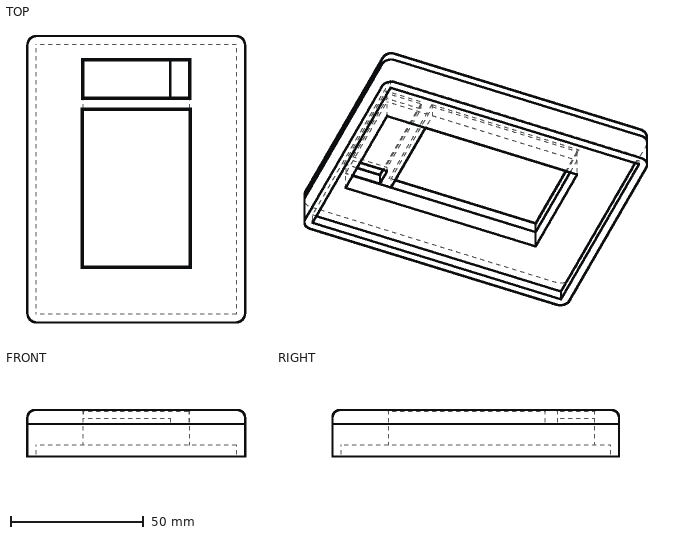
import cadquery as cq

WIDTH = 82.1
LENGTH = 108.0
HEIGHT = 17.6
LID_THICKNESS = 5.4
BASE_HEIGHT = HEIGHT - LID_THICKNESS
CORNER_RADIUS = 3.7
TOP_FILLET = 3.0

BEVEL = 0.5
BEVEL_ANGLE = 45.0
SMALL_WINDOW_WIDTH = 39.7
SMALL_WINDOW_BOTTOM = 30.8
SMALL_WINDOW_TOP = 44.7
MAIN_WINDOW_WIDTH = 40.2
MAIN_WINDOW_BOTTOM = -32.9
MAIN_WINDOW_TOP = 26.1

SHELF_THICKNESS = 2.0
SHELF_RIGHT = 12.9

BASE_OPENING_WIDTH = MAIN_WINDOW_WIDTH
POCKET_DEPTH = 4.3
POCKET_WALL = 3.2


def rounded_block(height, bottom):
    """Block with the full outline and rounded vertical corners."""
    block = cq.Workplane("XY").box(WIDTH, LENGTH, height, centered=(True, True, False))
    return block.edges("|Z").fillet(CORNER_RADIUS).translate((0, 0, bottom))


def centred_prism(width, y_low, y_high, z_low, z_high):
    """Rectangular prism centred on X between the given Y and Z limits."""
    prism = cq.Workplane("XY").box(width, y_high - y_low, z_high - z_low, centered=(True, False, False))
    return prism.translate((0, y_low, z_low))


def bevelled_window(width, y_low, y_high):
    """Cutter for a lid window whose upper rim flares outward by BEVEL."""
    shaft = centred_prism(width, y_low, y_high, BASE_HEIGHT, HEIGHT)
    rim = (
        cq.Workplane("XY", origin=(0, (y_low + y_high) / 2, HEIGHT))
        .rect(width + 2 * BEVEL, y_high - y_low + 2 * BEVEL)
        .extrude(-BEVEL, taper=BEVEL_ANGLE)
    )
    return shaft.union(rim)


def make_lid():
    lid = rounded_block(LID_THICKNESS, BASE_HEIGHT).faces(">Z").edges().fillet(TOP_FILLET)
    lid = lid.cut(bevelled_window(SMALL_WINDOW_WIDTH, SMALL_WINDOW_BOTTOM, SMALL_WINDOW_TOP))
    lid = lid.cut(bevelled_window(MAIN_WINDOW_WIDTH, MAIN_WINDOW_BOTTOM, MAIN_WINDOW_TOP))

    shelf_left = -SMALL_WINDOW_WIDTH / 2
    shelf = cq.Workplane("XY").box(
        SHELF_RIGHT - shelf_left,
        SMALL_WINDOW_TOP - SMALL_WINDOW_BOTTOM,
        SHELF_THICKNESS,
        centered=False,
    )
    return lid.union(shelf.translate((shelf_left, SMALL_WINDOW_BOTTOM, BASE_HEIGHT)))


def make_base():
    opening = centred_prism(BASE_OPENING_WIDTH, MAIN_WINDOW_BOTTOM, SMALL_WINDOW_TOP, 0, BASE_HEIGHT)
    pocket_half_length = LENGTH / 2 - POCKET_WALL
    pocket = centred_prism(
        WIDTH - 2 * POCKET_WALL, -pocket_half_length, pocket_half_length, 0, POCKET_DEPTH
    )
    return rounded_block(BASE_HEIGHT, 0).cut(opening).cut(pocket)


lid = make_lid()
base = make_base()
result = cq.Compound.makeCompound([lid.val(), base.val()])